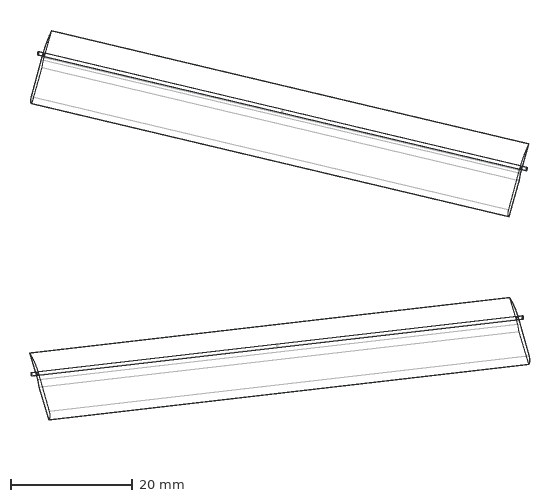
import cadquery as cq
import math


tilt = 45.0
flap_length = 85.0
pin_length = 87.0
pin_diameter = 0.6

tip_along = -4.25
bend_along = 0.55
face_end_along = 7.33
bottom_along = 8.27
neck_underside_out = -0.57
bend_out = 0.59
body_underside_out = -0.94
step_start_along = 0.85
step_end_along = 2.05
face_taper = 2.1


def section_plane(x):
    """Plane across X at the given x, facing -X, with its axes along the slope and out."""
    slope = math.radians(tilt)
    down_the_slope = cq.Vector(0, -math.cos(slope), -math.sin(slope))
    return cq.Plane(origin=(x, 0, 0), xDir=down_the_slope, normal=(-1, 0, 0))


def make_pin():
    """Round hinge pin that sticks out equally at both ends of the flap."""
    return cq.Workplane("YZ").circle(pin_diameter / 2).extrude(pin_length / 2, both=True)


def nose_middle(face_end, bottom, taper):
    """Middle point of the nose arc, which leaves the face tangentially and ends at the bottom edge."""
    chord_along = bottom[0] - face_end[0]
    chord_in = face_end[1] - bottom[1]
    half_turn = math.atan2(chord_in, chord_along) - taper
    radius = math.hypot(chord_along, chord_in) / (2 * math.sin(half_turn))
    reach = 2 * radius * math.sin(half_turn / 2)
    heading = taper + half_turn / 2
    return (face_end[0] + reach * math.cos(heading), face_end[1] - reach * math.sin(heading))


def make_flap():
    """Flap with a sharp curved tip, a flat face, a rounded nose and a stepped underside."""
    taper = math.radians(face_taper)
    face_end_out = bend_out - (face_end_along - bend_along) * math.tan(taper)
    face_end = (face_end_along, face_end_out)
    bottom = (bottom_along, body_underside_out)
    section = (
        cq.Workplane(section_plane(flap_length / 2))
        .moveTo(*face_end)
        .lineTo(bend_along, bend_out)
        .tangentArcPoint((tip_along, neck_underside_out), relative=False)
        .lineTo(step_start_along, neck_underside_out)
        .lineTo(step_end_along, body_underside_out)
        .lineTo(*bottom)
        .threePointArc(nose_middle(face_end, bottom, taper), face_end)
        .close()
    )
    return section.extrude(flap_length).cut(make_pin())


flap = make_flap()
pin = make_pin()
result = cq.Compound.makeCompound([flap.val(), pin.val()])